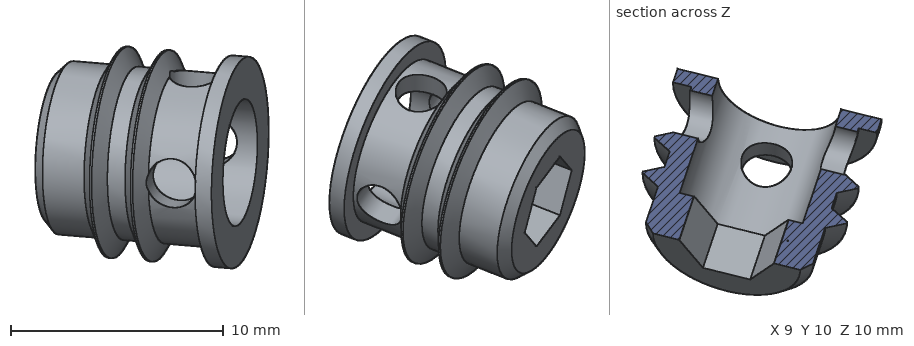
import cadquery as cq
import math

length = 9.0
outer_radius = 5.0
body_radius = 4.1
nose_chamfer = 0.5
flange_thickness = 0.8

first_ridge_center = 3.1
ridge_pitch = 2.0
ridge_centers = (first_ridge_center, first_ridge_center + ridge_pitch)
crest_width = 0.1
flank_half_angle = math.radians(30)
ridge_height = outer_radius - body_radius
flank_width = ridge_height * math.tan(flank_half_angle)

hex_across_flats = 4.0
hex_depth = 2.5
bore_radius = 3.0
cross_hole_diameter = 2.4
cross_hole_x = 6.8


def ridge_points(center):
    """Profile of one ridge as (x, radius) points."""
    half_crest = crest_width / 2
    half_root = half_crest + flank_width
    return [
        (center - half_root, body_radius),
        (center - half_crest, outer_radius),
        (center + half_crest, outer_radius),
        (center + half_root, body_radius),
    ]


def make_body():
    """Chamfered cylinder with ridges and an end flange."""
    flange_start = length - flange_thickness
    profile = [(0, 0), (0, body_radius - nose_chamfer), (nose_chamfer, body_radius)]
    for center in ridge_centers:
        profile += ridge_points(center)
    profile += [
        (flange_start, body_radius),
        (flange_start, outer_radius),
        (length, outer_radius),
        (length, 0),
    ]
    return cq.Workplane("XY").polyline(profile).close().revolve(360, (0, 0), (1, 0))


def make_hex_socket():
    """Hexagonal prism along X, with two corners on the Y axis."""
    across_corners = hex_across_flats / math.cos(math.radians(30))
    return cq.Workplane("YZ").polygon(6, across_corners).extrude(hex_depth)


def make_bore():
    """Round bore from the end of the hexagon to the flange face."""
    return cq.Workplane("YZ", origin=(hex_depth, 0, 0)).circle(bore_radius).extrude(length - hex_depth)


def make_cross_hole(plane):
    """Cylinder through the full diameter, normal to the given plane."""
    return (
        cq.Workplane(plane)
        .center(cross_hole_x, 0)
        .circle(cross_hole_diameter / 2)
        .extrude(outer_radius, both=True)
    )


result = make_body().cut(make_hex_socket()).cut(make_bore())
for hole_plane in ("XY", "XZ"):
    result = result.cut(make_cross_hole(hole_plane))